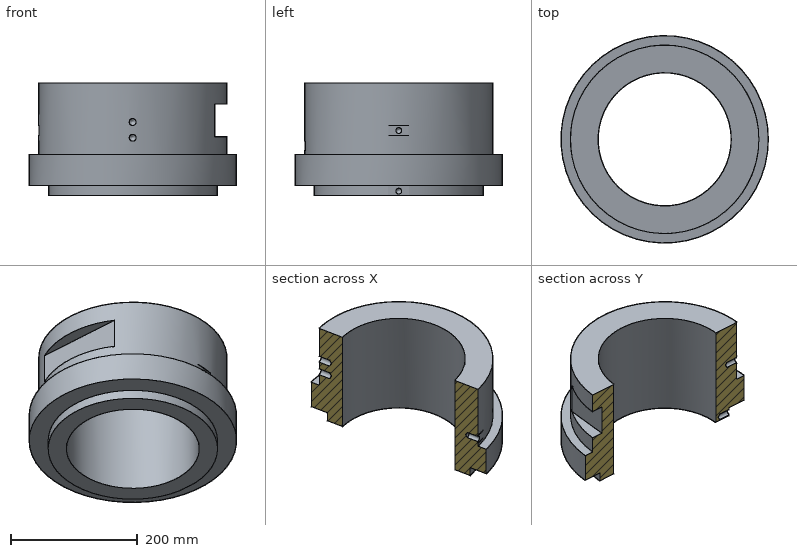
import cadquery as cq
import math

flange_radius = 164.0
barrel_radius = 149.0
neck_radius = 133.8
bore_radius = 105.0
total_height = 178.0
neck_height = 15.7
flange_top = 65.3

side_flat_x = 130.0
side_flat_bottom = 93.5
side_flat_top = 144.5

pad_height = 15.0
barrel_pad_depth = 0.82
neck_pad_depth = 1.0
left_pad_z = 103.0
back_pad_z = 78.7

pad_hole_diameter = 9.2
front_hole_diameter = 10.8
hole_depth = 19.7
drill_point_angle = 118.0
neck_hole_z = 7.2
front_hole_heights = (91.5, 116.5)

BACK = 90
LEFT = 180
FRONT = 270


def disc(radius, bottom, top):
    return cq.Workplane("XY").workplane(offset=bottom).circle(radius).extrude(top - bottom)


def turned_body():
    body = disc(neck_radius, 0, neck_height)
    body = body.union(disc(flange_radius, neck_height, flange_top))
    body = body.union(disc(barrel_radius, flange_top, total_height))
    return body.cut(disc(bore_radius, 0, total_height))


def flat_cutter(distance, bottom, top, angle):
    """Block that removes everything beyond a distance from the axis in one direction."""
    block = cq.Workplane("XY").box(
        flange_radius, 2 * flange_radius, top - bottom, centered=(False, True, False)
    )
    return block.translate((distance, 0, bottom)).rotate((0, 0, 0), (0, 0, 1), angle)


def radial_hole(surface_distance, z, diameter, angle):
    """Blind drilled hole running inward from the surface toward the axis."""
    drill_radius = diameter / 2
    point_length = drill_radius / math.tan(math.radians(drill_point_angle / 2))
    floor = surface_distance - hole_depth
    profile = (
        cq.Workplane("XY")
        .moveTo(floor - point_length, 0)
        .lineTo(floor, drill_radius)
        .lineTo(flange_radius, drill_radius)
        .lineTo(flange_radius, 0)
        .close()
    )
    drill = profile.revolve(360, (0, 0, 0), (1, 0, 0))
    return drill.translate((0, 0, z)).rotate((0, 0, 0), (0, 0, 1), angle)


result = turned_body()
result = result.cut(flat_cutter(side_flat_x, side_flat_bottom, side_flat_top, 0))

barrel_pad_distance = barrel_radius - barrel_pad_depth
for angle, z in ((LEFT, left_pad_z), (BACK, back_pad_z)):
    pad = flat_cutter(barrel_pad_distance, z - pad_height / 2, z + pad_height / 2, angle)
    result = result.cut(pad)
    result = result.cut(radial_hole(barrel_pad_distance, z, pad_hole_diameter, angle))

neck_pad_distance = neck_radius - neck_pad_depth
result = result.cut(flat_cutter(neck_pad_distance, 0, neck_height, LEFT))
result = result.cut(radial_hole(neck_pad_distance, neck_hole_z, pad_hole_diameter, LEFT))

for z in front_hole_heights:
    result = result.cut(radial_hole(barrel_radius, z, front_hole_diameter, FRONT))